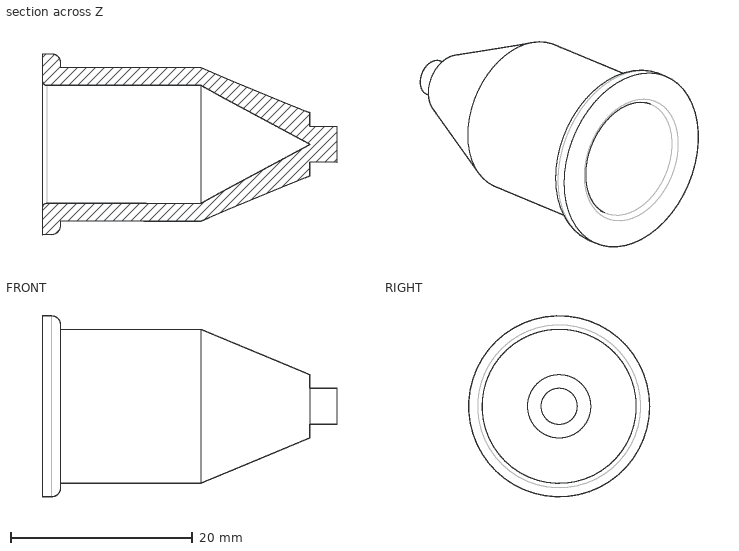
import cadquery as cq

total_length = 32.5
flange_thickness = 2.0
shoulder_x = 17.5
pin_length = 3.0
nose_end_x = total_length - pin_length

flange_diameter = 20.0
body_diameter = 17.0
nose_end_diameter = 7.0
pin_diameter = 4.0
flange_edge_radius = 1.0

bore_diameter = 13.0
bore_mouth_radius = 0.5
bore_straight_depth = shoulder_x
bore_tip_x = nose_end_x


def disc(start_x, length, diameter):
    """Cylinder along +X, starting at start_x."""
    return cq.Workplane("YZ", origin=(start_x, 0, 0)).circle(diameter / 2).extrude(length)


def cone(start_x, end_x, start_diameter, end_diameter):
    """Cone along +X; an end diameter of zero gives a pointed tip."""
    return cq.Workplane(
        cq.Solid.makeCone(
            start_diameter / 2,
            end_diameter / 2,
            end_x - start_x,
            pnt=cq.Vector(start_x, 0, 0),
            dir=cq.Vector(1, 0, 0),
        )
    )


flange = disc(0, flange_thickness, flange_diameter).faces(">X").edges().fillet(flange_edge_radius)
body = disc(0, shoulder_x, body_diameter)
nose = cone(shoulder_x, nose_end_x, body_diameter, nose_end_diameter)
pin = disc(nose_end_x, pin_length, pin_diameter)
outer = flange.union(body).union(nose).union(pin)

bore = disc(0, bore_straight_depth, bore_diameter).union(
    cone(bore_straight_depth, bore_tip_x, bore_diameter, 0)
)

bored = outer.cut(bore)
result = bored.faces("<X").edges(cq.selectors.RadiusNthSelector(0)).fillet(bore_mouth_radius)